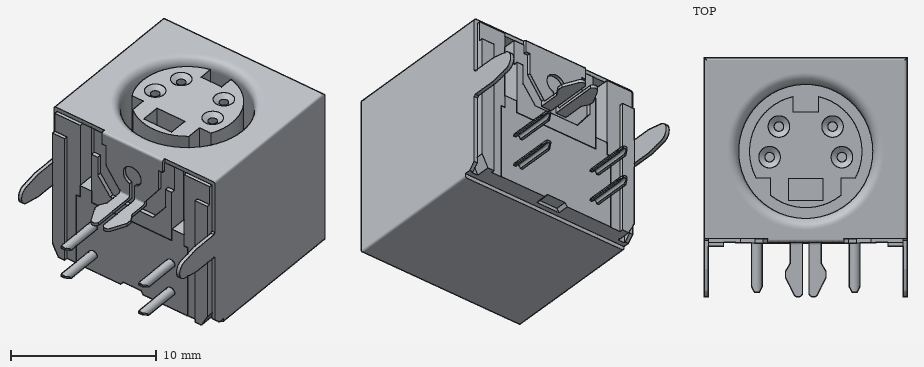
import cadquery as cq
import math


WIDTH = 14.0
HEIGHT = 12.9
TOTAL_DEPTH = 16.5

SHELL_DEPTH = 12.47
SIDE_WALL = 0.28
PLATE = 0.33
SHELL_ROUND = 0.2
BOTTOM_PLATE_DEPTH = 11.5
WALL_CORNER_CHAMFER = 0.5

STRIP_DEPTH = 12.74
PANEL_DEPTH = 12.77
FRAME_DEPTH = 12.8
RAIL_DEPTH = 13.0
HOUSING_HALF = WIDTH / 2 - SIDE_WALL
HOUSING_TOP = HEIGHT - PLATE
PANEL_HALF = 4.83
PANEL_TOP = 6.32
RAIL_INNER = 5.66
RAIL_TOP = 11.0
HOUSING_CORNER_X = 0.51
HOUSING_CORNER_Z = 0.97
NOTCH_TOP_HALF = 0.78
NOTCH_BOTTOM_HALF = 0.97
NOTCH_HEIGHT = 0.28
LOWER_CUT_DEPTH = 11.88

CHANNEL_INNER = 3.48
CHANNEL_OUTER = 4.5
CHANNEL_FLOOR = 7.31
CHANNEL_CUT = 1.32

CLIP_THICKNESS = 0.25
CLIP_DEPTH = 12.74
RECESS_DEPTH = CLIP_DEPTH - CLIP_THICKNESS
CLIP_TAB_HALF = 2.62
CLIP_TAB_BOTTOM = 11.85
CLIP_BODY_HALF = 2.3
CLIP_TAPER_TOP = 10.16
CLIP_ROUND = 0.2
CLIP_HOLE_Z = 10.26
CLIP_HOLE_RADIUS = 0.78
LEG_OUTER = 1.07
LEG_GAP_HALF = 0.21
LEG_TOP = 8.32
LEG_BOTTOM = 8.07
LEG_BEND = 0.18
BARB_HALF = 1.4
BARB_START = 14.17
BARB_WIDE_START = 14.73
BARB_WIDE_END = 15.15
LEG_TIP_START = 16.27
LEG_TIP_CENTER = 0.53
LEG_TIP_OUTER = 0.84
RECESS_HALF = 2.94
RECESS_LEDGE = 10.56
RECESS_TAPER_TOP = 9.0
RECESS_BOTTOM_HALF = 1.86
RECESS_BOTTOM = 7.59

TAB_Z = 7.41
TAB_HALF = 0.99
TAB_TAPER_START = 14.6
TAB_TIP_START = 16.05
TAB_TIP_HALF = 0.7
TAB_ROOT_FILLET = 0.12

PIN_X = 3.37
PIN_Z = (1.75, 4.22)
PIN_RADIUS = 0.38
PIN_BORE = 0.2
PIN_TIP_HALF = 0.16
PIN_TIP_RISE = 0.2
PIN_TAPER_START = 15.77
PIN_END = 16.19

SOCKET_DEPTH = 6.47
SOCKET_RADIUS = 4.62
SOCKET_LIP = 0.78
SOCKET_FLOOR = PANEL_TOP
INSERT_RADIUS = 3.88
INSERT_STEP_Y = -1.82
INSERT_STEP_HALF = 2.45
KEY_HALF = 0.89
KEY_FLOOR_Y = 2.72
WINDOW_WIDTH = 2.41
WINDOW_LOW_Y = -3.37
WINDOW_HIGH_Y = -1.86
CONTACT_HOLES = ((1.85, 1.72), (2.49, -0.4))
CONTACT_RADIUS = 0.33
CONTACT_SINK_RADIUS = 0.75
CONTACT_SINK_DEPTH = 0.26

SIDES = (-1, 1)


def front_plane(depth):
    """Workplane parallel to XZ at a depth; extruding goes toward -Y."""
    return cq.Workplane("XZ", origin=(0, -depth, 0))


def block(x_low, x_high, depth_low, depth_high, z_low, z_high):
    """Box given by its limits in X, depth and Z."""
    size = (x_high - x_low, depth_high - depth_low, z_high - z_low)
    return cq.Workplane("XY").box(*size, centered=False).translate((x_low, -depth_high, z_low))


def side_block(side, x_inner, x_outer, *limits):
    """Box on one side of the middle plane."""
    x_low, x_high = sorted((side * x_inner, side * x_outer))
    return block(x_low, x_high, *limits)


def mirrored_outline(plane, half_points):
    """Closed outline from the points of its +X half, listed from top to bottom."""
    left = [(-x, z) for x, z in reversed(half_points)]
    return plane.polyline(half_points + left).close()


def make_shell():
    """Outer box filled solid, with its bottom plate ending short of the board side."""
    half = WIDTH / 2
    shell = block(-half, half, 0, SHELL_DEPTH, 0, HEIGHT)
    shell = shell.edges("(|Y) or (>Y and (>Z or <Z))").fillet(SHELL_ROUND)
    front_relief = block(-half, half, BOTTOM_PLATE_DEPTH, SHELL_DEPTH, 0, PLATE)
    wall_corners = (
        cq.Workplane("YZ", origin=(-half, 0, 0))
        .moveTo(-SHELL_DEPTH, PLATE)
        .lineTo(-SHELL_DEPTH, PLATE + WALL_CORNER_CHAMFER)
        .lineTo(-SHELL_DEPTH + WALL_CORNER_CHAMFER, PLATE)
        .close()
        .extrude(WIDTH)
    )
    return shell.cut(front_relief).cut(wall_corners)


def make_housing_front():
    """Stepped housing faces standing out of the open side of the shell."""
    front = block(
        -HOUSING_HALF, HOUSING_HALF, BOTTOM_PLATE_DEPTH, STRIP_DEPTH, PLATE, HOUSING_TOP
    )
    for side in SIDES:
        rail = side_block(
            side, RAIL_INNER, HOUSING_HALF, BOTTOM_PLATE_DEPTH, RAIL_DEPTH, PLATE, RAIL_TOP
        )
        column = side_block(
            side, CHANNEL_INNER, CHANNEL_OUTER,
            BOTTOM_PLATE_DEPTH, PANEL_DEPTH, PANEL_TOP, CHANNEL_FLOOR,
        )
        front = front.union(rail).union(column)
    panel = block(-PANEL_HALF, PANEL_HALF, BOTTOM_PLATE_DEPTH, PANEL_DEPTH, PLATE, PANEL_TOP)
    frame = block(
        -CHANNEL_INNER, CHANNEL_INNER, BOTTOM_PLATE_DEPTH, FRAME_DEPTH, PANEL_TOP, HOUSING_TOP
    )
    return front.union(panel).union(frame)


def make_housing_cuts():
    """Channels, clip recess, bevelled lower corners and the bottom notch."""
    recess = mirrored_outline(
        front_plane(RECESS_DEPTH),
        [
            (CHANNEL_INNER, HOUSING_TOP),
            (CHANNEL_INNER, RECESS_LEDGE),
            (RECESS_HALF, RECESS_LEDGE),
            (RECESS_HALF, RECESS_TAPER_TOP),
            (RECESS_BOTTOM_HALF, RECESS_BOTTOM),
        ],
    ).extrude(RAIL_DEPTH - RECESS_DEPTH)
    notch = mirrored_outline(
        front_plane(LOWER_CUT_DEPTH),
        [(NOTCH_TOP_HALF, PLATE + NOTCH_HEIGHT), (NOTCH_BOTTOM_HALF, PLATE)],
    ).extrude(RAIL_DEPTH - LOWER_CUT_DEPTH)
    cuts = recess.union(notch)
    for side in SIDES:
        channel = side_block(
            side, CHANNEL_INNER, CHANNEL_OUTER,
            PANEL_DEPTH - CHANNEL_CUT, RAIL_DEPTH, CHANNEL_FLOOR, HOUSING_TOP,
        )
        corner = (
            front_plane(LOWER_CUT_DEPTH)
            .moveTo(side * HOUSING_HALF, PLATE)
            .lineTo(side * HOUSING_HALF, PLATE + HOUSING_CORNER_Z)
            .lineTo(side * (HOUSING_HALF - HOUSING_CORNER_X), PLATE)
            .close()
            .extrude(RAIL_DEPTH - LOWER_CUT_DEPTH)
        )
        cuts = cuts.union(channel).union(corner)
    return cuts


def make_clip_leg(side):
    leg = (
        cq.Workplane("XY", origin=(0, 0, LEG_BOTTOM))
        .moveTo(side * LEG_GAP_HALF, -RECESS_DEPTH)
        .lineTo(side * LEG_OUTER, -RECESS_DEPTH)
        .lineTo(side * LEG_OUTER, -BARB_START)
        .lineTo(side * BARB_HALF, -BARB_WIDE_START)
        .lineTo(side * BARB_HALF, -BARB_WIDE_END)
        .lineTo(side * LEG_TIP_OUTER, -LEG_TIP_START)
        .threePointArc(
            (side * LEG_TIP_CENTER, -TOTAL_DEPTH), (side * LEG_GAP_HALF, -LEG_TIP_START)
        )
        .close()
        .extrude(LEG_TOP - LEG_BOTTOM)
    )
    x_low = min(side * LEG_GAP_HALF, side * LEG_OUTER)
    bend = (
        cq.Workplane("YZ", origin=(x_low, 0, 0))
        .moveTo(-CLIP_DEPTH, LEG_TOP)
        .lineTo(-CLIP_DEPTH - LEG_BEND, LEG_TOP)
        .radiusArc((-CLIP_DEPTH, LEG_TOP + LEG_BEND), -LEG_BEND)
        .close()
        .extrude(LEG_OUTER - LEG_GAP_HALF)
    )
    return leg.union(bend)


def make_clip():
    plate = mirrored_outline(
        front_plane(SHELL_DEPTH),
        [
            (CLIP_TAB_HALF, HEIGHT),
            (CLIP_TAB_HALF, CLIP_TAB_BOTTOM),
            (CLIP_BODY_HALF, CLIP_TAB_BOTTOM),
            (CLIP_BODY_HALF, CLIP_TAPER_TOP),
            (LEG_OUTER, LEG_TOP + LEG_BEND),
            (LEG_OUTER, LEG_BOTTOM),
        ],
    ).extrude(CLIP_DEPTH - SHELL_DEPTH)
    plate = plate.edges(">Z and <Y").fillet(CLIP_ROUND)
    hole = (
        front_plane(SHELL_DEPTH)
        .center(0, CLIP_HOLE_Z)
        .circle(CLIP_HOLE_RADIUS)
        .extrude(CLIP_DEPTH - SHELL_DEPTH)
    )
    slot = block(-LEG_GAP_HALF, LEG_GAP_HALF, SHELL_DEPTH, CLIP_DEPTH, LEG_BOTTOM, CLIP_HOLE_Z)
    clip = plate.cut(hole).cut(slot)
    for side in SIDES:
        clip = clip.union(make_clip_leg(side))
    return clip


def make_side_tab(side):
    x_low = min(side * HOUSING_HALF, side * WIDTH / 2)
    root = SHELL_DEPTH
    flare = TAB_HALF + TAB_ROOT_FILLET
    return (
        cq.Workplane("YZ", origin=(x_low, 0, TAB_Z))
        .moveTo(-root, flare)
        .radiusArc((-root - TAB_ROOT_FILLET, TAB_HALF), -TAB_ROOT_FILLET)
        .lineTo(-TAB_TAPER_START, TAB_HALF)
        .lineTo(-TAB_TIP_START, TAB_TIP_HALF)
        .threePointArc((-TOTAL_DEPTH, 0), (-TAB_TIP_START, -TAB_TIP_HALF))
        .lineTo(-TAB_TAPER_START, -TAB_HALF)
        .lineTo(-root - TAB_ROOT_FILLET, -TAB_HALF)
        .radiusArc((-root, -flare), -TAB_ROOT_FILLET)
        .close()
        .extrude(SIDE_WALL)
    )


def make_pin(x, z):
    length = PIN_END - BOTTOM_PLATE_DEPTH
    tube = (
        front_plane(BOTTOM_PLATE_DEPTH)
        .moveTo(PIN_RADIUS, 0)
        .threePointArc((0, PIN_RADIUS), (-PIN_RADIUS, 0))
        .lineTo(-PIN_BORE, 0)
        .threePointArc((0, PIN_BORE), (PIN_BORE, 0))
        .close()
        .extrude(length)
    )
    tapered_outline = (
        cq.Workplane("XY")
        .moveTo(-PIN_RADIUS, -BOTTOM_PLATE_DEPTH)
        .lineTo(-PIN_RADIUS, -PIN_TAPER_START)
        .lineTo(-PIN_TIP_HALF, -PIN_END)
        .lineTo(PIN_TIP_HALF, -PIN_END)
        .lineTo(PIN_RADIUS, -PIN_TAPER_START)
        .lineTo(PIN_RADIUS, -BOTTOM_PLATE_DEPTH)
        .close()
        .extrude(PIN_RADIUS)
    )
    tip_underside = (
        cq.Workplane("YZ", origin=(-PIN_RADIUS, 0, 0))
        .moveTo(-PIN_TAPER_START, 0)
        .lineTo(-PIN_END, PIN_TIP_RISE)
        .lineTo(-PIN_END, 0)
        .close()
        .extrude(2 * PIN_RADIUS)
    )
    return tube.intersect(tapered_outline).cut(tip_underside).translate((x, 0, z))


def make_insert():
    """Keyed contact insert left standing in the well, flush with the top."""
    height = HEIGHT - SOCKET_FLOOR
    base = cq.Workplane("XY", origin=(0, 0, SOCKET_FLOOR))
    insert = base.circle(INSERT_RADIUS).extrude(height)
    step_width = INSERT_RADIUS - INSERT_STEP_HALF
    step_length = INSERT_RADIUS + INSERT_STEP_Y
    for side in SIDES:
        step = (
            base.center(side * (INSERT_STEP_HALF + step_width / 2), INSERT_STEP_Y - step_length / 2)
            .rect(step_width, step_length)
            .extrude(height)
        )
        insert = insert.cut(step)
    key_length = INSERT_RADIUS - KEY_FLOOR_Y
    key = base.center(0, KEY_FLOOR_Y + key_length / 2).rect(2 * KEY_HALF, key_length).extrude(height)
    window = (
        base.center(0, (WINDOW_LOW_Y + WINDOW_HIGH_Y) / 2)
        .rect(WINDOW_WIDTH, WINDOW_HIGH_Y - WINDOW_LOW_Y)
        .extrude(height)
    )
    holes = [(side * x, y) for x, y in CONTACT_HOLES for side in SIDES]
    sink_width = CONTACT_SINK_RADIUS - CONTACT_RADIUS
    sink_angle = 2 * math.degrees(math.atan(sink_width / CONTACT_SINK_DEPTH))
    return (
        insert.cut(key)
        .cut(window)
        .faces(">Z")
        .workplane(origin=(0, 0, HEIGHT))
        .pushPoints(holes)
        .cskHole(2 * CONTACT_RADIUS, 2 * CONTACT_SINK_RADIUS, sink_angle, height)
    )


def make_socket_cavity():
    """Space to remove: round well with a flared lip, around the contact insert."""
    well = (
        cq.Workplane("XZ")
        .moveTo(0, SOCKET_FLOOR)
        .lineTo(SOCKET_RADIUS, SOCKET_FLOOR)
        .lineTo(SOCKET_RADIUS, HEIGHT - SOCKET_LIP)
        .radiusArc((SOCKET_RADIUS + SOCKET_LIP, HEIGHT), SOCKET_LIP)
        .lineTo(0, HEIGHT)
        .close()
        .revolve(360, (0, 0, 0), (0, 1, 0))
    )
    return well.cut(make_insert()).translate((0, -SOCKET_DEPTH, 0))


result = make_shell().union(make_housing_front()).cut(make_housing_cuts()).union(make_clip())
for side in SIDES:
    result = result.union(make_side_tab(side))
    for pin_z in PIN_Z:
        result = result.union(make_pin(side * PIN_X, pin_z))
result = result.cut(make_socket_cavity())